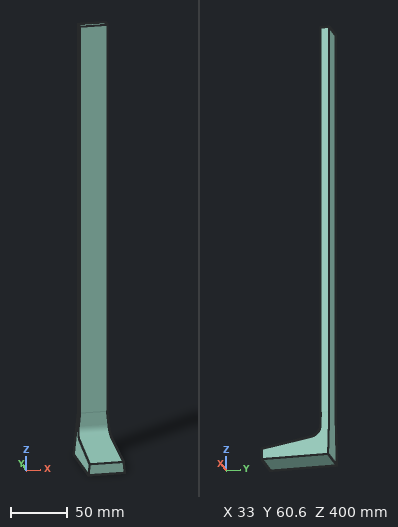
import cadquery as cq
import math

TOTAL_HEIGHT = 400.0
BLADE_WIDTH = 25.0
BLADE_THICKNESS = 8.0

NECK_WIDTH = 24.7
NECK_THICKNESS = 7.85
NECK_TOP = 40.0
COLLAR_HEIGHT = 1.0
BLADE_BOTTOM = NECK_TOP + COLLAR_HEIGHT

BASE_WIDTH = 33.0
FOOT_LENGTH = 60.6
TOE_HEIGHT = 10.3
TOE_SLOPE = math.radians(10.0)
THROAT_RADIUS = 10.0


def make_foot_profile():
    """L-shaped side profile at full base width, with a rounded throat."""
    neck_front = -NECK_THICKNESS
    slope_at_neck = TOE_HEIGHT + (FOOT_LENGTH - NECK_THICKNESS) * math.tan(TOE_SLOPE)
    centre_y = neck_front - THROAT_RADIUS
    slope_below_centre = slope_at_neck - THROAT_RADIUS * math.tan(TOE_SLOPE)
    centre_z = slope_below_centre + THROAT_RADIUS / math.cos(TOE_SLOPE)

    def throat_point(angle):
        return (
            centre_y + THROAT_RADIUS * math.cos(angle),
            centre_z + THROAT_RADIUS * math.sin(angle),
        )

    end_angle = TOE_SLOPE - math.pi / 2
    return (
        cq.Workplane("YZ")
        .moveTo(0, 0)
        .lineTo(0, NECK_TOP)
        .lineTo(neck_front, NECK_TOP)
        .lineTo(*throat_point(0))
        .threePointArc(throat_point(end_angle / 2), throat_point(end_angle))
        .lineTo(-FOOT_LENGTH, TOE_HEIGHT)
        .lineTo(-FOOT_LENGTH, 0)
        .close()
        .extrude(BASE_WIDTH / 2, both=True)
    )


def make_foot_taper():
    """Trapezoidal prism that narrows the foot from the base to the neck width."""
    return (
        cq.Workplane("XZ")
        .polyline([
            (-BASE_WIDTH / 2, 0),
            (BASE_WIDTH / 2, 0),
            (NECK_WIDTH / 2, NECK_TOP),
            (-NECK_WIDTH / 2, NECK_TOP),
        ])
        .close()
        .extrude(FOOT_LENGTH)
    )


def make_collar():
    """Flared transition from the neck section to the blade section, flat at the back."""
    return (
        cq.Workplane("XY", origin=(0, 0, NECK_TOP))
        .center(0, -NECK_THICKNESS / 2)
        .rect(NECK_WIDTH, NECK_THICKNESS)
        .workplane(offset=COLLAR_HEIGHT)
        .center(0, (NECK_THICKNESS - BLADE_THICKNESS) / 2)
        .rect(BLADE_WIDTH, BLADE_THICKNESS)
        .loft(ruled=True)
    )


def make_blade():
    """Straight rectangular strip standing on the collar."""
    return (
        cq.Workplane("XY", origin=(0, -BLADE_THICKNESS / 2, BLADE_BOTTOM))
        .rect(BLADE_WIDTH, BLADE_THICKNESS)
        .extrude(TOTAL_HEIGHT - BLADE_BOTTOM)
    )


foot = make_foot_profile().intersect(make_foot_taper())
result = foot.union(make_collar()).union(make_blade())